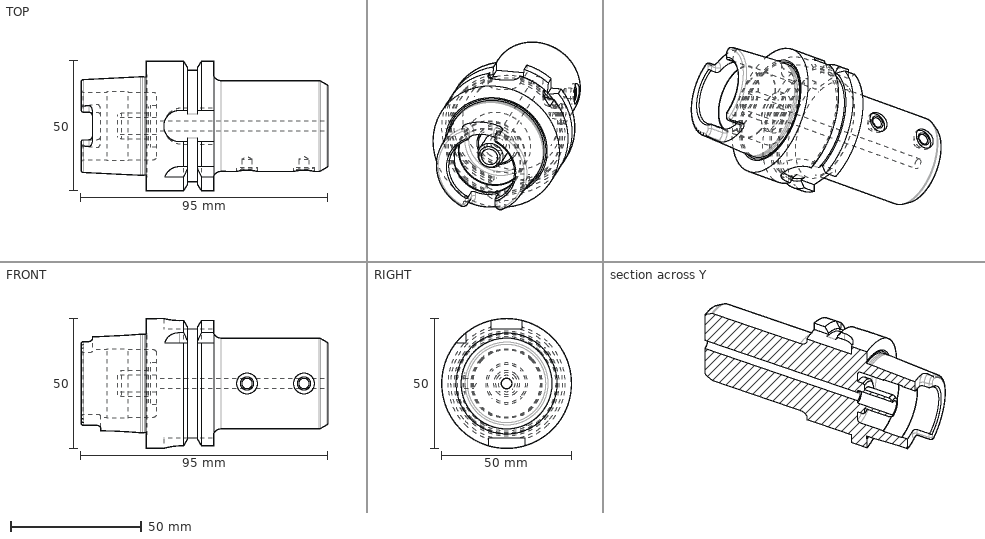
import cadquery as cq
import math


total_length = 95.0
flange_start = 25.0
flange_length = 26.0
flange_end = flange_start + flange_length

taper_large_radius = 19.0
taper_end = 22.9
taper_slope = 0.05
shank_tip_radius = taper_large_radius - taper_slope * taper_end
shank_edge_fillet = 0.9

undercut_start = 23.6
undercut_ramp = 0.7
undercut_radius = 37.9 / 2
face_recess_depth = 0.25
face_recess_floor_radius = 19.6
face_recess_rim_radius = 20.2

flange_radius = 25.0
groove_floor_radius = 21.5
groove_wall_radius = 22.5
groove_start = 40.95
groove_width = 3.75
groove_end = groove_start + groove_width
groove_rear_bevel = 1.5
groove_front_bevel = 1.6

body_radius = 17.5
body_root_fillet = 3.0
body_root_length = 2.8
nose_bevel_length = 3.2
nose_bevel_angle = math.radians(30)
nose_edge_fillet = 1.0

keyway_width = 10.54
keyway_shoulder = 16.15
keyway_corner_radius = 2.3
keyway_floor_fillet = 1.35
upper_keyway_depth = 4.3
lower_keyway_depth = 7.5

bore_diameter = 26.0
bore_mouth_chamfer = 0.7
bore_relief_diameter = 26.6
bore_relief_start = 10.0
bore_relief_end = 18.0
bore_depth = 29.0
bore_floor_fillet = 1.2

tube_diameter = 10.0
tube_tip_diameter = 8.4
tube_tip_length = 1.5
tube_start = 14.0
tube_bore_diameter = 6.4
tube_collar_diameter = 16.0
tube_collar_chamfer = 0.7
tube_collar_length = 3.0
coolant_diameter = 4.0

slot_end = 31.8
slot_floor = 21.0
upper_slot_width = 12.0
lower_slot_width = 14.0

notch_offset = 15.6
notch_radius = 6.0
notch_center_x = slot_end + notch_radius

screw_positions = (63.8, 85.7)
screw_diameter = 8.0
screw_rim_diameter = 5.1
screw_recess = 0.7
screw_bevel = 0.9
socket_diameter = 4.0
socket_mouth_depth = 0.3
socket_depth = 4.0
socket_point_angle = math.radians(60)


def revolve_about_axis(profile):
    return profile.close().revolve(360, (0, 0, 0), (1, 0, 0))


def cylinder(start, end, diameter):
    return cq.Workplane("YZ", origin=(start, 0, 0)).circle(diameter / 2).extrude(end - start)


def on_underside(shape):
    return shape.rotate((0, 0, 0), (1, 0, 0), 180)


def make_shank():
    edge_radius = shank_tip_radius + taper_slope * shank_edge_fillet
    taper = revolve_about_axis(
        cq.Workplane("XY")
        .lineTo(0, edge_radius - shank_edge_fillet)
        .radiusArc((shank_edge_fillet, edge_radius), shank_edge_fillet)
        .lineTo(taper_end, taper_large_radius)
        .lineTo(undercut_start, taper_large_radius)
        .lineTo(undercut_start + undercut_ramp, undercut_radius)
        .lineTo(flange_end, undercut_radius)
        .lineTo(flange_end, 0)
    )
    return taper.intersect(keyed_block())


def keyed_block():
    """Oversize block that carries both keyways and their rounded mouth edges."""
    block_side = 2 * flange_radius
    block = cq.Workplane("YZ").rect(block_side, block_side).extrude(flange_end)
    block = block.cut(keyway(upper_keyway_depth))
    block = block.cut(on_underside(keyway(lower_keyway_depth)))
    return block.faces("<X").edges().fillet(shank_edge_fillet)


def keyway(depth):
    """Open slot on the +Z side that widens to the full shank width above its shoulder."""
    half_width = keyway_width / 2
    reach = 2 * flange_radius
    corner_start = keyway_shoulder - keyway_corner_radius
    corner_side = half_width + keyway_corner_radius
    return (
        cq.Workplane("YZ", origin=(depth, 0, 0))
        .moveTo(-half_width, 0)
        .lineTo(half_width, 0)
        .lineTo(half_width, corner_start)
        .radiusArc((corner_side, keyway_shoulder), keyway_corner_radius)
        .lineTo(reach, keyway_shoulder)
        .lineTo(reach, reach)
        .lineTo(-reach, reach)
        .lineTo(-reach, keyway_shoulder)
        .lineTo(-corner_side, keyway_shoulder)
        .radiusArc((-half_width, corner_start), keyway_corner_radius)
        .close()
        .extrude(-2 * depth)
        .faces(">X")
        .edges()
        .fillet(keyway_floor_fillet)
    )


def make_flange():
    recess_floor = flange_start + face_recess_depth
    return revolve_about_axis(
        cq.Workplane("XY")
        .moveTo(recess_floor, 0)
        .lineTo(recess_floor, face_recess_floor_radius)
        .lineTo(flange_start, face_recess_rim_radius)
        .lineTo(flange_start, flange_radius)
        .lineTo(groove_start - groove_rear_bevel, flange_radius)
        .lineTo(groove_start, groove_wall_radius)
        .lineTo(groove_start, groove_floor_radius)
        .lineTo(groove_end, groove_floor_radius)
        .lineTo(groove_end, groove_wall_radius)
        .lineTo(groove_end + groove_front_bevel, flange_radius)
        .lineTo(flange_end, flange_radius)
        .lineTo(flange_end, 0)
    )


def drive_slot(width):
    """Round-ended slot on the +Z side, open toward the nose."""
    half_width = width / 2
    center_x = slot_end + half_width
    return (
        cq.Workplane("XY", origin=(0, 0, slot_floor))
        .moveTo(flange_end, -half_width)
        .lineTo(center_x, -half_width)
        .threePointArc((slot_end, 0), (center_x, half_width))
        .lineTo(flange_end, half_width)
        .close()
        .extrude(flange_radius)
    )


def corner_notch():
    """L-shaped notch at the -Y, +Z corner with a milled round end."""
    return (
        cq.Workplane("XY", origin=(0, 0, notch_offset))
        .moveTo(flange_end, -notch_offset)
        .lineTo(notch_center_x, -notch_offset)
        .radiusArc((slot_end, -notch_offset - notch_radius), -notch_radius)
        .lineTo(slot_end, -flange_radius)
        .lineTo(flange_end, -flange_radius)
        .close()
        .extrude(flange_radius)
    )


def make_body():
    root_end = flange_end + body_root_length
    root_rise = body_root_fillet - math.sqrt(body_root_fillet**2 - body_root_length**2)
    bevel_drop = nose_bevel_length * math.tan(nose_bevel_angle)
    bevel_start = total_length - nose_bevel_length
    body = revolve_about_axis(
        cq.Workplane("XY")
        .moveTo(flange_end, 0)
        .lineTo(flange_end, body_radius + root_rise)
        .radiusArc((root_end, body_radius), -body_root_fillet)
        .lineTo(bevel_start, body_radius)
        .lineTo(total_length, body_radius - bevel_drop)
        .lineTo(total_length, 0)
    )
    return body.faces("%CONE").edges("%CIRCLE").fillet(nose_edge_fillet)


def clamping_bore():
    bore_radius = bore_diameter / 2
    bore_relief_radius = bore_relief_diameter / 2
    return revolve_about_axis(
        cq.Workplane("XY")
        .lineTo(0, bore_radius + bore_mouth_chamfer)
        .lineTo(bore_mouth_chamfer, bore_radius)
        .lineTo(bore_relief_start, bore_radius)
        .lineTo(bore_relief_start, bore_relief_radius)
        .lineTo(bore_relief_end, bore_relief_radius)
        .lineTo(bore_relief_end, bore_radius)
        .lineTo(bore_depth - bore_floor_fillet, bore_radius)
        .radiusArc((bore_depth, bore_radius - bore_floor_fillet), bore_floor_fillet)
        .lineTo(bore_depth, 0)
    )


def coolant_tube():
    collar_start = bore_depth - tube_collar_length
    collar = cylinder(collar_start, bore_depth, tube_collar_diameter)
    collar = collar.faces("<X").chamfer(tube_collar_chamfer)
    tube = cylinder(tube_start, bore_depth, tube_diameter)
    tip_step = (tube_diameter - tube_tip_diameter) / 2
    tube = tube.faces("<X").chamfer(tube_tip_length, tip_step)
    return collar.union(tube).cut(cylinder(tube_start, bore_depth, tube_bore_diameter))


def screw_plane(x, distance):
    """Plane facing -Y at the given distance from the part's axis."""
    return cq.Workplane("XZ", origin=(x, -distance, 0))


def screw_recess_ring(x):
    """Space between a set screw's bevelled outer end and the wall of its hole."""
    outer_end = body_radius - screw_recess
    bevel_end = outer_end - screw_bevel
    hole = screw_plane(x, bevel_end).circle(screw_diameter / 2).extrude(body_radius - bevel_end)
    screw_end = (
        screw_plane(x, bevel_end)
        .circle(screw_diameter / 2)
        .workplane(offset=screw_bevel)
        .circle(screw_rim_diameter / 2)
        .loft()
    )
    return hole.cut(screw_end)


def screw_socket(x):
    """Round socket with a countersunk mouth and a pointed floor."""
    outer_end = body_radius - screw_recess
    socket_radius = socket_diameter / 2
    point_depth = socket_radius / math.tan(socket_point_angle)
    return (
        cq.Workplane("XY", origin=(x, -outer_end, 0))
        .lineTo(screw_rim_diameter / 2, 0)
        .lineTo(socket_radius, socket_mouth_depth)
        .lineTo(socket_radius, socket_depth)
        .lineTo(0, socket_depth + point_depth)
        .close()
        .revolve(360, (0, 0, 0), (0, 1, 0))
    )


result = make_shank().union(make_flange()).union(make_body())
result = result.cut(clamping_bore()).union(coolant_tube())
result = result.cut(cylinder(0, total_length, coolant_diameter))
result = result.cut(drive_slot(upper_slot_width))
result = result.cut(on_underside(drive_slot(lower_slot_width)))
result = result.cut(corner_notch())
for screw_x in screw_positions:
    result = result.cut(screw_recess_ring(screw_x)).cut(screw_socket(screw_x))